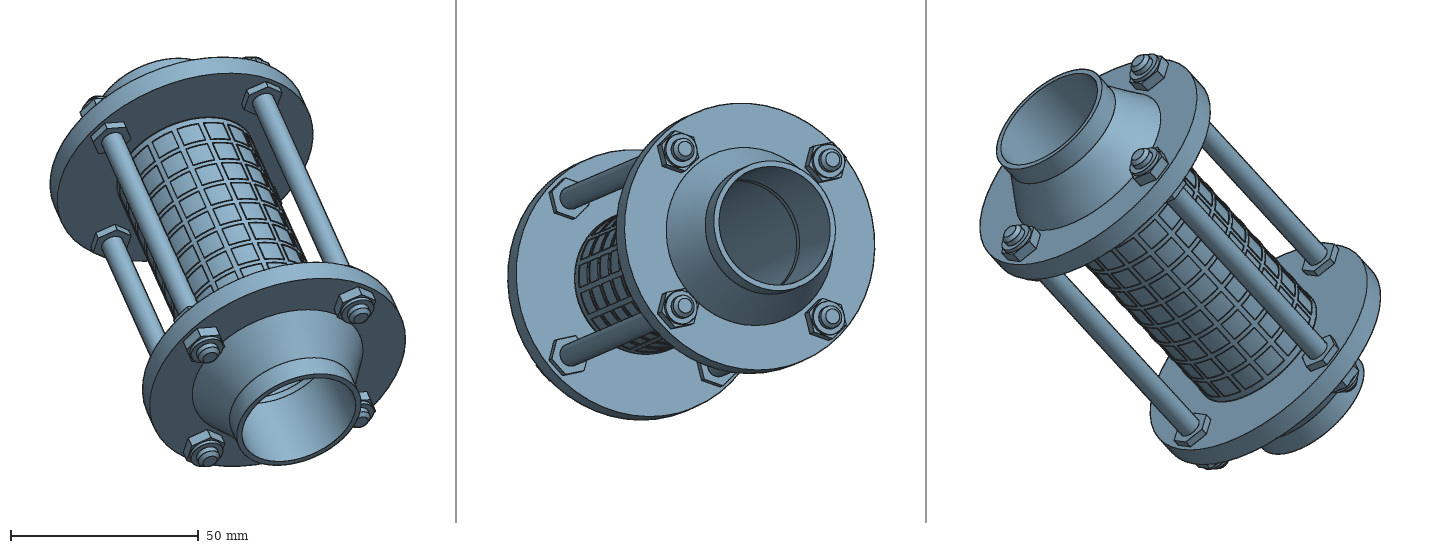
import cadquery as cq
import math


overall_length = 117.0
pipe_end_length = 6.0
flange_gap = 70.0
flange_thickness = 6.0
flange_inner_x = flange_gap / 2
flange_outer_x = flange_inner_x + flange_thickness
pipe_end_x = overall_length / 2
cone_small_x = pipe_end_x - pipe_end_length

flange_diameter = 72.0
cone_base_diameter = 48.0
pipe_diameter = 35.0
bore_diameter = 32.0
seal_thickness = 2.0

liner_diameter = 38.0
screen_thickness = 0.25
screen_diameter = liner_diameter + 2 * screen_thickness

window_size = 6.0
window_pitch = 7.4
windows_along = 9
windows_around = 16
window_step = 360.0 / windows_around
first_window_margin = 2.0
first_window_x = -flange_inner_x + first_window_margin + window_size / 2

rod_count = 4
rod_circle_diameter = 60.0
rod_diameter = 6.0
rod_length = 95.0
rod_chamfer = 1.0
nut_across_flats = 9.6
hexagon_half_angle = 30.0
nut_corner_diameter = nut_across_flats / math.cos(math.radians(hexagon_half_angle))
outer_nut_thickness = 3.0
inner_nut_thickness = 2.0
nut_collar_diameter = 9.0
nut_collar_length = 1.0
first_rod_angle = 45.0
rod_step = 360.0 / rod_count


def bar(x_start, length, diameter):
    """Round bar along +X, centred on the X axis."""
    return cq.Workplane("YZ", origin=(x_start, 0, 0)).circle(diameter / 2).extrude(length)


def ring(x_start, length, outer_diameter, inner_diameter):
    """Tube along +X, centred on the X axis."""
    section = cq.Workplane("YZ", origin=(x_start, 0, 0)).circle(outer_diameter / 2)
    return section.circle(inner_diameter / 2).extrude(length)


def hexagon(x_start, length):
    """Hexagonal nut body along +X, with two of its flats facing along Y."""
    section = cq.Workplane("YZ", origin=(x_start, 0, 0)).transformed(rotate=(0, 0, hexagon_half_angle))
    return section.polygon(6, nut_corner_diameter).extrude(length)


def at_rod(shape, index):
    """Move a shape from the X axis out to one place on the rod circle."""
    moved = shape.translate((0, rod_circle_diameter / 2, 0))
    return moved.rotate((0, 0, 0), (1, 0, 0), first_rod_angle + index * rod_step)


def make_right_flange():
    """Flange, conical hub and pipe end in one piece, with a seal recess and rod holes."""
    profile = [
        (flange_inner_x, 0),
        (flange_inner_x, flange_diameter / 2),
        (flange_outer_x, flange_diameter / 2),
        (flange_outer_x, cone_base_diameter / 2),
        (cone_small_x, pipe_diameter / 2),
        (pipe_end_x, pipe_diameter / 2),
        (pipe_end_x, 0),
    ]
    body = cq.Workplane("XZ").polyline(profile).close().revolve(360, (0, 0, 0), (1, 0, 0))
    body = body.cut(bar(flange_inner_x, pipe_end_x - flange_inner_x, bore_diameter))
    body = body.cut(bar(flange_inner_x, seal_thickness, screen_diameter))
    rod_hole = bar(flange_inner_x, flange_thickness, rod_diameter)
    for index in range(rod_count):
        body = body.cut(at_rod(rod_hole, index))
    return body


def make_right_seal():
    """Flat ring filling the recess of the flange."""
    return ring(flange_inner_x, seal_thickness, screen_diameter, bore_diameter)


def make_liner():
    """Plain tube inside the screen, closing its windows."""
    return ring(-flange_inner_x, flange_gap, liner_diameter, bore_diameter)


def make_screen():
    """Thin sleeve between the flanges, pierced by rows of square windows."""
    sleeve = ring(-flange_inner_x, flange_gap, screen_diameter, liner_diameter)
    cutters = []
    for along in range(windows_along):
        window_x = first_window_x + along * window_pitch
        cutter = cq.Workplane("XY", origin=(window_x, 0, 0)).rect(window_size, window_size)
        cutter = cutter.extrude(screen_diameter)
        for around in range(windows_around):
            turned = cutter.rotate((0, 0, 0), (1, 0, 0), around * window_step)
            cutters.append(turned.val())
    return cq.Workplane(sleeve.val().cut(*cutters))


def make_rod():
    """Tie rod on the X axis with an inner and a collared outer nut at each end."""
    rod = bar(-rod_length / 2, rod_length, rod_diameter).faces("<X or >X").chamfer(rod_chamfer)
    inner_nut = hexagon(flange_inner_x - inner_nut_thickness, inner_nut_thickness)
    outer_nut = hexagon(flange_outer_x, outer_nut_thickness)
    collar = bar(flange_outer_x + outer_nut_thickness, nut_collar_length, nut_collar_diameter)
    for fastener in (inner_nut, outer_nut, collar):
        rod = rod.union(fastener).union(fastener.mirror("YZ"))
    return rod


right_flange = make_right_flange()
left_flange = right_flange.mirror("YZ")
right_seal = make_right_seal()
left_seal = right_seal.mirror("YZ")
liner = make_liner()
screen = make_screen()
centred_rod = make_rod()
rods = [at_rod(centred_rod, index).val() for index in range(rod_count)]

result = cq.Compound.makeCompound(
    [
        left_flange.val(),
        right_flange.val(),
        left_seal.val(),
        right_seal.val(),
        liner.val(),
        screen.val(),
        *rods,
    ]
)